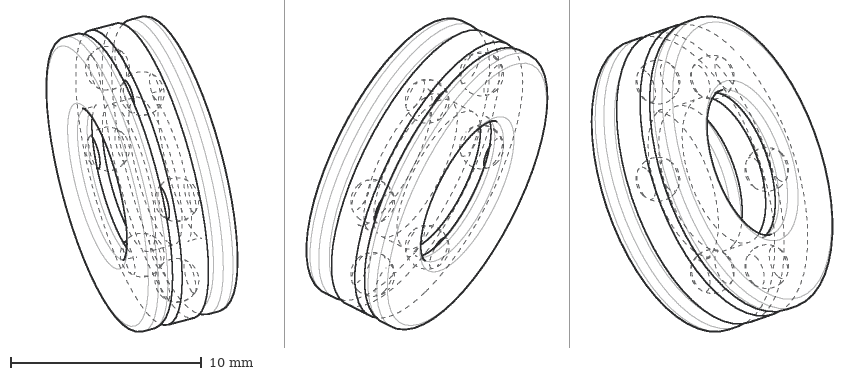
import cadquery as cq
import math

outer_diameter = 16.0
bore_diameter = 8.0
bearing_width = 5.0

washer_thickness = 1.35
front_washer_bore = 8.2
back_washer_bore = bore_diameter
washer_fillet = 0.4

ball_count = 6
ball_diameter = bearing_width - 2 * washer_thickness
pitch_diameter = (outer_diameter + bore_diameter) / 2
ball_step = 360 / ball_count

cage_width = 1.47
cage_outer_diameter = outer_diameter
cage_bore_diameter = bore_diameter


def make_ring(ring_outer, ring_bore, width, y_start):
    """Plain ring around the Y axis, running from y_start toward +Y."""
    return (
        cq.Workplane("XZ", origin=(0, y_start, 0))
        .circle(ring_outer / 2)
        .circle(ring_bore / 2)
        .extrude(-width)
    )


def make_washer(washer_bore, y_start):
    """Ring with all four circular edges rounded."""
    washer = make_ring(outer_diameter, washer_bore, washer_thickness, y_start)
    return washer.faces("|Y").edges().fillet(washer_fillet)


def make_ball(index):
    """Ball on the pitch circle; the first one is at the top."""
    angle = math.radians(index * ball_step)
    x = pitch_diameter / 2 * math.sin(angle)
    z = pitch_diameter / 2 * math.cos(angle)
    return cq.Workplane("XY").sphere(ball_diameter / 2).translate((x, 0, z))


def make_cage(balls):
    """Ring midway between the washers, with a matching pocket for each ball."""
    cage = make_ring(cage_outer_diameter, cage_bore_diameter, cage_width, -cage_width / 2)
    for ball in balls:
        cage = cage.cut(ball)
    return cage


front_washer = make_washer(front_washer_bore, -bearing_width / 2)
back_washer = make_washer(back_washer_bore, bearing_width / 2 - washer_thickness)
balls = [make_ball(index) for index in range(ball_count)]
cage = make_cage(balls)

result = cq.Compound.makeCompound([body.val() for body in [front_washer, back_washer, cage, *balls]])